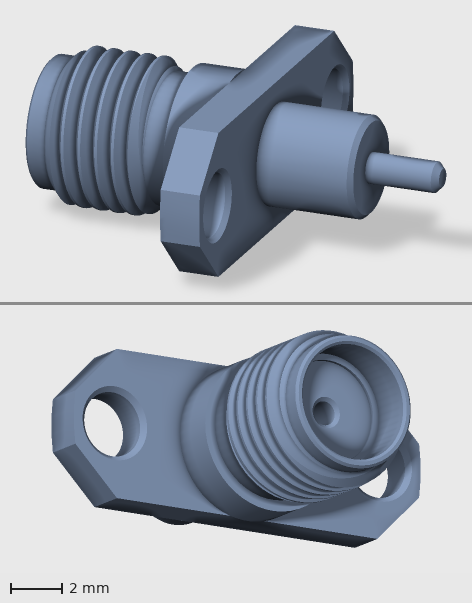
import cadquery as cq
import math


overall_length = 16.53
thread_start = 0.81
thread_end = 5.01
collar_start = 6.0
flange_start = 7.87
flange_thickness = 1.65
insulator_end = 13.52
flange_end = flange_start + flange_thickness

neck_radius = 2.66
rim_chamfer = 0.1
collar_radius = 3.1

thread_radius = 3.17
thread_root_radius = 2.66
thread_pitch = 0.706
thread_half_angle = math.radians(30)
groove_start = 0.2
groove_turns = 7.5
groove_clearance = 0.03

socket_radius = 2.31
socket_depth = 1.9
insulator_radius = 2.07
insulator_recess = 0.17
contact_radius = 0.48
contact_chamfer = 0.15
contact_depth = 2.98
drill_half_angle = math.radians(59)

insulator_chamfer = 0.2
pin_radius = 0.63
pin_chamfer = 0.25

flange_length = 15.98
flange_width = 6.02
flange_top_length = 12.0
flange_end_half_width = 1.07
hole_spacing = 12.2
hole_radius = 1.29
hole_chamfer = 0.2


def revolve_about_axis(points):
    """Solid of revolution about X from (x, radius) points."""
    return cq.Workplane("XY").polyline(points).close().revolve(360, (0, 0), (1, 0))


def turned_body():
    """Unthreaded barrel, rear insulator and solder pin."""
    return revolve_about_axis([
        (0, 0),
        (0, neck_radius - rim_chamfer),
        (rim_chamfer, neck_radius),
        (collar_start, neck_radius),
        (collar_start, collar_radius),
        (flange_start, collar_radius),
        (flange_start, insulator_radius),
        (insulator_end - insulator_chamfer, insulator_radius),
        (insulator_end, insulator_radius - insulator_chamfer),
        (insulator_end, pin_radius),
        (overall_length - pin_chamfer, pin_radius),
        (overall_length, pin_radius - pin_chamfer),
        (overall_length, 0),
    ])


def thread_groove():
    """Right-handed V groove bounded by three helices, built along Z and then laid along X."""
    outer_radius = thread_radius + groove_clearance
    half_width = (outer_radius - thread_root_radius) * math.tan(thread_half_angle)
    height = groove_turns * thread_pitch
    helices = [
        cq.Wire.makeHelix(thread_pitch, height, radius, center=cq.Vector(0, 0, offset))
        for radius, offset in (
            (thread_root_radius, 0),
            (outer_radius, half_width),
            (outer_radius, -half_width),
        )
    ]
    faces = []
    for index, helix in enumerate(helices):
        faces.extend(cq.Face.makeRuledSurface(helices[index - 1], helix).Faces())
    for corners in (
        [helix.startPoint() for helix in helices],
        [helix.endPoint() for helix in helices],
    ):
        faces.append(cq.Face.makeFromWires(cq.Wire.makePolygon(corners, close=True)))
    groove = cq.Workplane(obj=cq.Solid.makeSolid(cq.Shell.makeShell(faces)))
    return groove.rotate((0, 0, 0), (0, 1, 0), 90).translate((groove_start, 0, 0))


def thread():
    """Grooved cylinder trimmed by a 45-degree cone at each end."""
    length = thread_end - thread_start
    cylinder = cq.Workplane("YZ", origin=(thread_start, 0, 0)).circle(thread_radius).extrude(length)
    end_cones = revolve_about_axis([
        (thread_start, 0),
        (thread_start, neck_radius),
        (thread_start + length / 2, neck_radius + length / 2),
        (thread_end, neck_radius),
        (thread_end, 0),
    ])
    return cylinder.cut(thread_groove()).intersect(end_cones)


def socket():
    """Stepped socket and the contact hole with its drill point."""
    insulator_face = socket_depth + insulator_recess
    contact_end = insulator_face + contact_depth
    return revolve_about_axis([
        (0, 0),
        (0, socket_radius + rim_chamfer),
        (rim_chamfer, socket_radius),
        (socket_depth, socket_radius),
        (socket_depth, insulator_radius),
        (insulator_face, insulator_radius),
        (insulator_face, contact_radius + contact_chamfer),
        (insulator_face + contact_chamfer, contact_radius),
        (contact_end, contact_radius),
        (contact_end + contact_radius / math.tan(drill_half_angle), 0),
    ])


def flange():
    """Plate with 45-degree corners and round ends centred on the axis."""
    end_radius = flange_length / 2
    corner_y = math.sqrt(end_radius**2 - flange_end_half_width**2)
    top_y = flange_top_length / 2
    top_z = flange_width / 2
    plate = (
        cq.Workplane("YZ", origin=(flange_start, 0, 0))
        .moveTo(-top_y, top_z)
        .lineTo(top_y, top_z)
        .lineTo(corner_y, flange_end_half_width)
        .threePointArc((end_radius, 0), (corner_y, -flange_end_half_width))
        .lineTo(top_y, -top_z)
        .lineTo(-top_y, -top_z)
        .lineTo(-corner_y, -flange_end_half_width)
        .threePointArc((-end_radius, 0), (-corner_y, flange_end_half_width))
        .close()
        .extrude(flange_thickness)
    )
    for side in (-1, 1):
        plate = plate.cut(mounting_hole().translate((0, side * hole_spacing / 2, 0)))
    return plate


def mounting_hole():
    """Through hole chamfered on both faces of the flange."""
    mouth_radius = hole_radius + hole_chamfer
    return revolve_about_axis([
        (flange_start, 0),
        (flange_start, mouth_radius),
        (flange_start + hole_chamfer, hole_radius),
        (flange_end - hole_chamfer, hole_radius),
        (flange_end, mouth_radius),
        (flange_end, 0),
    ])


result = turned_body().union(thread()).union(flange()).cut(socket())